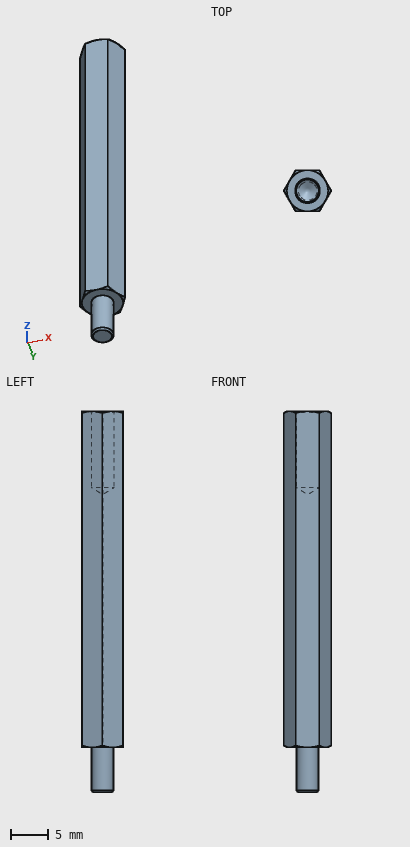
import cadquery as cq
import math

total_length = 51.0
stud_length = 6.0
across_flats = 5.5
stud_diameter = 3.0
stud_chamfer = 0.25
bore_diameter = 3.0
bore_depth = 10.2
bore_rim_chamfer = 0.15
drill_point_angle = 118.0
end_chamfer_angle = 30.0

hex_length = total_length - stud_length
across_corners = across_flats / math.cos(math.pi / 6)
corner_radius = across_corners / 2
end_face_radius = across_flats / 2
end_chamfer_height = (corner_radius - end_face_radius) * math.tan(math.radians(end_chamfer_angle))
bore_radius = bore_diameter / 2
drill_point_height = bore_radius / math.tan(math.radians(drill_point_angle / 2))
bore_floor = total_length - bore_depth


def revolve_profile(points):
    """Turn a closed (radius, height) outline about the Z axis."""
    return cq.Workplane("XZ").polyline(points).close().revolve(360, (0, 0, 0), (0, 1, 0))


def make_hex_body():
    """Hexagonal bar with its corners turned down conically at both ends."""
    bar = (
        cq.Workplane("XY")
        .workplane(offset=stud_length)
        .polygon(6, across_corners)
        .extrude(hex_length)
    )
    turned_envelope = revolve_profile([
        (0, stud_length),
        (end_face_radius, stud_length),
        (corner_radius, stud_length + end_chamfer_height),
        (corner_radius, total_length - end_chamfer_height),
        (end_face_radius, total_length),
        (0, total_length),
    ])
    return bar.intersect(turned_envelope)


def make_stud():
    """Round stud with a chamfered tip, standing below the hexagon."""
    return (
        cq.Workplane("XY")
        .circle(stud_diameter / 2)
        .extrude(stud_length)
        .faces("<Z")
        .chamfer(stud_chamfer)
    )


def make_bore():
    """Blind hole from the top with a drill point and a chamfered rim."""
    return revolve_profile([
        (0, bore_floor - drill_point_height),
        (bore_radius, bore_floor),
        (bore_radius, total_length - bore_rim_chamfer),
        (bore_radius + bore_rim_chamfer, total_length),
        (0, total_length),
    ])


result = make_hex_body().union(make_stud()).cut(make_bore())